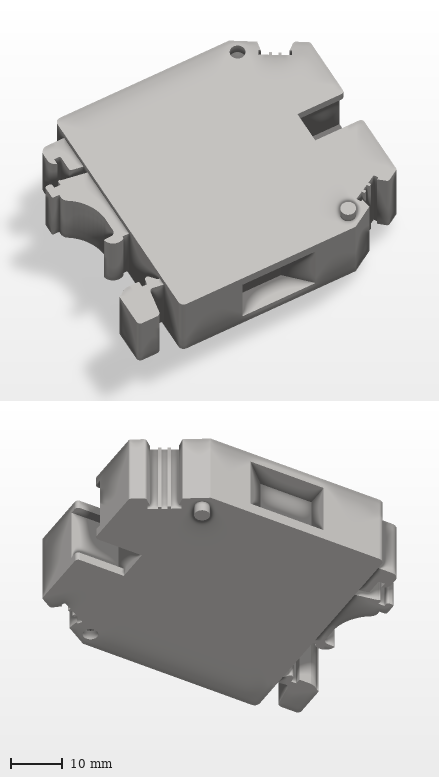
import cadquery as cq
import math

BODY_WIDTH = 50.5
TOTAL_HEIGHT = 61.3
FOOT_DROP = 8.95
BODY_HEIGHT = TOTAL_HEIGHT - FOOT_DROP
TOTAL_THICKNESS = 19.4
BODY_THICKNESS = 15.0
FOOT_THICKNESS = 12.5
HALF_WIDTH = BODY_WIDTH / 2
BODY_CORNER_RADIUS = 1.15

SHOULDER_OUTER_DEPTH = 13.6
SHOULDER_TOP_X = 22.4
SHOULDER_TOP_DEPTH = 8.95
TOWER_TOP_X = 17.2
TOWER_TOP_RADIUS = 0.5
TOWER_NOSE_X = 18.95
TOWER_NOSE_DEPTH = 2.75
TOWER_NOSE_RADIUS = 0.6

GROOVE_TOP_X = 16.3
GROOVE_TOP_DEPTH = 4.6
GROOVE_ANGLE = 60.0
GROOVE_LENGTH = 6.55
HOOK_OFFSET = 1.05
HOOK_LENGTH = 0.5
TOOTH_SIZE = 0.6
TOOTH_SPACING = 1.85

SLOT_WIDTH = 7.1
SLOT_DEPTH = 10.5
SLOT_CORNER_RADIUS = 0.75
SLOT_LIP = 1.85
SLOT_UNDERCUT = 2.0

POCKET_TOP_Y = 29.85
POCKET_KNEE_Y = 24.9
POCKET_BOTTOM_Y = 13.55
POCKET_DEPTH = 4.9
POCKET_THICKNESS = 10.65

PIN_X = 22.05
PIN_Y = 38.85
PIN_DIAMETER = 3.05
PIN_HEIGHT = (TOTAL_THICKNESS - BODY_THICKNESS) / 2

ROOT_OVERLAP = 0.6


def slab(outline, thickness):
    """Extrude a closed XY outline symmetrically about the mid-plane."""
    return outline.extrude(thickness / 2, both=True)


def mirrored(points):
    return [(-x, y) for x, y in reversed(points)]


def groove_point(along, outward):
    """Point on the +X groove: distance down its floor, and distance out from the floor."""
    angle = math.radians(GROOVE_ANGLE)
    x = GROOVE_TOP_X + along * math.cos(angle) + outward * math.sin(angle)
    y = BODY_HEIGHT - GROOVE_TOP_DEPTH - along * math.sin(angle) + outward * math.cos(angle)
    return (x, y)


def groove_points():
    """Groove edge from the upper hook down to the lower hook."""
    points = [groove_point(HOOK_LENGTH, HOOK_OFFSET), groove_point(0, HOOK_OFFSET), groove_point(0, 0)]
    for side in (-1, 1):
        centre = GROOVE_LENGTH / 2 + side * TOOTH_SPACING / 2
        start = centre - TOOTH_SIZE / 2
        end = centre + TOOTH_SIZE / 2
        points += [
            groove_point(start, 0),
            groove_point(start, TOOTH_SIZE),
            groove_point(end, TOOTH_SIZE),
            groove_point(end, 0),
        ]
    points += [
        groove_point(GROOVE_LENGTH, 0),
        groove_point(GROOVE_LENGTH, HOOK_OFFSET),
        groove_point(GROOVE_LENGTH - HOOK_LENGTH, HOOK_OFFSET),
    ]
    return points


def round_edges(solid, points, radius):
    """Fillet the Z-direction edges that pass through the given XY points."""
    reach = 0.05
    for x, y in points:
        box = cq.selectors.BoxSelector(
            (x - reach, y - reach, -BODY_THICKNESS), (x + reach, y + reach, BODY_THICKNESS)
        )
        solid = solid.edges("|Z").edges(box).fillet(radius)
    return solid


def make_body():
    tower_top = (TOWER_TOP_X, BODY_HEIGHT)
    tower_nose = (TOWER_NOSE_X, BODY_HEIGHT - TOWER_NOSE_DEPTH)
    bottom_corner = (HALF_WIDTH, 0)
    right_side = [
        tower_top,
        tower_nose,
        *groove_points(),
        (SHOULDER_TOP_X, BODY_HEIGHT - SHOULDER_TOP_DEPTH),
        (HALF_WIDTH, BODY_HEIGHT - SHOULDER_OUTER_DEPTH),
        bottom_corner,
    ]
    outline = cq.Workplane("XY").polyline(right_side + mirrored(right_side)).close()
    body = slab(outline, BODY_THICKNESS)
    for corner, radius in (
        (tower_top, TOWER_TOP_RADIUS),
        (tower_nose, TOWER_NOSE_RADIUS),
        (bottom_corner, BODY_CORNER_RADIUS),
    ):
        body = round_edges(body, [corner] + mirrored([corner]), radius)
    return body


def cut_slot(body):
    slot_centre_y = BODY_HEIGHT - SLOT_DEPTH / 2
    slot = cq.Workplane("XY").center(0, slot_centre_y).rect(SLOT_WIDTH, SLOT_DEPTH)
    body = body.cut(slab(slot, BODY_THICKNESS))
    mouth = (SLOT_WIDTH / 2, BODY_HEIGHT)
    body = round_edges(body, [mouth] + mirrored([mouth]), SLOT_CORNER_RADIUS)
    undercut_width = SLOT_WIDTH + 2 * SLOT_UNDERCUT
    undercut = cq.Workplane("XY").center(0, slot_centre_y).rect(undercut_width, SLOT_DEPTH)
    return body.cut(slab(undercut, BODY_THICKNESS - 2 * SLOT_LIP))


def cut_wire_pockets(body):
    floor_x = HALF_WIDTH - POCKET_DEPTH
    section = [
        (HALF_WIDTH, POCKET_TOP_Y),
        (floor_x, POCKET_KNEE_Y),
        (floor_x, POCKET_BOTTOM_Y),
        (HALF_WIDTH, POCKET_BOTTOM_Y),
    ]
    for points in (section, mirrored(section)):
        body = body.cut(slab(cq.Workplane("XY").polyline(points).close(), POCKET_THICKNESS))
    return body


def add_pins_and_sockets(body):
    """Each broad face has one pin, opposite a socket of the same size."""
    for side in (1, -1):
        face = cq.Workplane("XY", origin=(0, 0, side * BODY_THICKNESS / 2))
        pin = face.center(side * PIN_X, PIN_Y).circle(PIN_DIAMETER / 2).extrude(side * PIN_HEIGHT)
        socket = face.center(-side * PIN_X, PIN_Y).circle(PIN_DIAMETER / 2).extrude(-side * PIN_HEIGHT)
        body = body.union(pin).cut(socket)
    return body


def left_foot():
    """Hooked foot that grips the outer edge of the rail."""
    outline = (
        cq.Workplane("XY")
        .moveTo(-21.45, ROOT_OVERLAP)
        .lineTo(-21.45, -3.85)
        .radiusArc((-19.85, -5.45), -1.6)
        .lineTo(-18.4, -5.45)
        .radiusArc((-16.75, -4.15), -1.65)
        .lineTo(-17.95, -4.15)
        .lineTo(-17.95, -3.1)
        .radiusArc((-17.65, -2.8), 0.3)
        .lineTo(-14.45, -2.8)
        .radiusArc((-14.1, -2.5), -0.35)
        .lineTo(-13.7, 0)
        .lineTo(-13.7, ROOT_OVERLAP)
        .close()
    )
    return slab(outline, FOOT_THICKNESS)


def middle_foot():
    """Central foot with a notched toe, a long arch and a curved heel."""
    notch_x = -12.1
    toe_left_x = -13.2
    toe_right_x = -10.1
    toe_top_y = -7.4
    toe_left_radius = 0.5
    toe_right_radius = 0.35
    outline = (
        cq.Workplane("XY")
        .moveTo(notch_x, ROOT_OVERLAP)
        .lineTo(notch_x, 0)
        .lineTo(-13.0, -5.5)
        .threePointArc((-13.2, -5.8), (-12.9, -6.05))
        .lineTo(notch_x, -6.05)
        .lineTo(notch_x, toe_top_y)
        .lineTo(toe_left_x + toe_left_radius, toe_top_y)
        .radiusArc((toe_left_x, toe_top_y - toe_left_radius), -toe_left_radius)
        .lineTo(toe_left_x, toe_left_radius - FOOT_DROP)
        .radiusArc((toe_left_x + toe_left_radius, -FOOT_DROP), -toe_left_radius)
        .lineTo(toe_right_x - toe_right_radius, -FOOT_DROP)
        .radiusArc((toe_right_x, toe_right_radius - FOOT_DROP), -toe_right_radius)
        .lineTo(toe_right_x, toe_top_y)
        .lineTo(-9.7, toe_top_y)
        .threePointArc((-8.7, -7.25), (-8.0, -6.55))
        .threePointArc((-5.45, -3.9), (-1.1, -2.4))
        .lineTo(2.25, -2.4)
        .radiusArc((3.4, -3.5), 1.1)
        .lineTo(3.4, -4.8)
        .threePointArc((3.55, -5.0), (3.8, -4.95))
        .threePointArc((5.35, -2.8), (4.95, -1.55))
        .lineTo(4.5, -1.55)
        .lineTo(4.5, ROOT_OVERLAP)
        .close()
    )
    return slab(outline, FOOT_THICKNESS)


def right_foot():
    """Spring foot: a narrow neck with a latch nose above a heavy block."""
    block_left_x = 16.4
    block_right_x = 24.3
    block_left_radius = 0.35
    block_right_radius = 0.85
    outline = (
        cq.Workplane("XY")
        .moveTo(16.7, ROOT_OVERLAP)
        .lineTo(16.7, -0.4)
        .lineTo(15.4, -1.55)
        .threePointArc((15.1, -2.1), (15.4, -2.6))
        .lineTo(16.7, -2.9)
        .lineTo(16.7, -3.9)
        .lineTo(15.4, -3.9)
        .lineTo(15.4, -6.55)
        .threePointArc((15.75, -7.55), (block_left_x, -8.4))
        .lineTo(block_left_x, block_left_radius - FOOT_DROP)
        .radiusArc((block_left_x + block_left_radius, -FOOT_DROP), -block_left_radius)
        .lineTo(block_right_x - block_right_radius, -FOOT_DROP)
        .radiusArc((block_right_x, block_right_radius - FOOT_DROP), -block_right_radius)
        .lineTo(block_right_x, -4.85)
        .radiusArc((23.4, -3.9), -0.9)
        .lineTo(18.65, -3.1)
        .threePointArc((18.15, -2.8), (18.0, -2.15))
        .lineTo(18.3, 0)
        .lineTo(18.3, ROOT_OVERLAP)
        .close()
    )
    return slab(outline, FOOT_THICKNESS)


body = cut_wire_pockets(cut_slot(make_body()))
body = add_pins_and_sockets(body)
result = body.union(left_foot()).union(middle_foot()).union(right_foot())